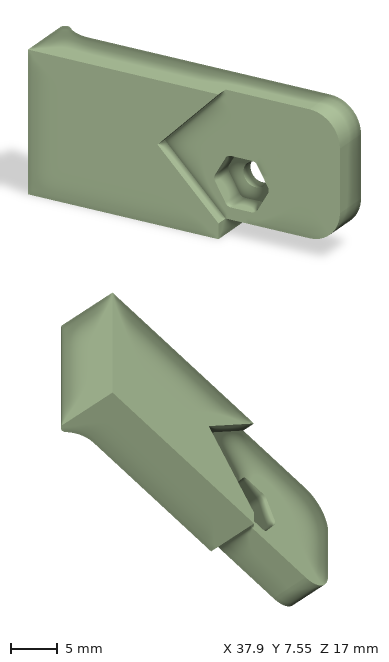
import cadquery as cq
import math

length = 37.85
height = 17.0
block_length = 23.65

tongue_front = 1.5
tongue_back = 6.02
lip_top = 7.55

tongue_height = 15.15
tongue_bottom = height - tongue_height
tongue_corner_radius = 3.8

tip_radius = 0.55
sweep_radius = 4.15

hole_x = 25.65
hole_z = 6.32
hole_diameter = 3.0
nut_width = 6.05
nut_corner_radius = 0.75
nut_depth = 3.0


def plan_profile():
    """Plan outline with the lip, whose tip arc is tangent to the sweep arc."""
    tip_y = lip_top - tip_radius
    sweep_y = tongue_back + sweep_radius
    center_distance = tip_radius + sweep_radius
    sweep_x = tip_radius + math.sqrt(center_distance**2 - (sweep_y - tip_y) ** 2)
    blend_angle = math.atan2(sweep_y - tip_y, sweep_x - tip_radius)
    blend_point = (
        tip_radius + tip_radius * math.cos(blend_angle),
        tip_y + tip_radius * math.sin(blend_angle),
    )
    sweep_mid_angle = (math.pi + blend_angle + 1.5 * math.pi) / 2
    sweep_mid = (
        sweep_x + sweep_radius * math.cos(sweep_mid_angle),
        sweep_y + sweep_radius * math.sin(sweep_mid_angle),
    )
    return (
        cq.Workplane("XY")
        .moveTo(0, 0)
        .lineTo(0, tip_y)
        .threePointArc((tip_radius, lip_top), blend_point)
        .threePointArc(sweep_mid, (sweep_x, tongue_back))
        .lineTo(length, tongue_back)
        .lineTo(length, 0)
        .close()
    )


def front_extrusion(sketch, start, end):
    """Extrude an XZ sketch between two depths along +Y."""
    return sketch.extrude(-(end - start)).translate((0, start, 0))


def side_outline():
    """Full-height block with the shorter tongue, through the whole depth."""
    block = front_extrusion(
        cq.Workplane("XZ").rect(block_length, height, centered=False), 0, lip_top
    )
    tongue = front_extrusion(
        cq.Workplane("XZ", origin=(0, 0, tongue_bottom)).rect(length, tongue_height, centered=False),
        0,
        lip_top,
    )
    tongue = tongue.edges("|Y and >X").fillet(tongue_corner_radius)
    return block.union(tongue)


def front_recess():
    """Step in front of the tongue, ending in a right-angled V notch."""
    notch_depth = tongue_height / 2
    sketch = (
        cq.Workplane("XZ")
        .moveTo(block_length, tongue_bottom)
        .lineTo(block_length - notch_depth, tongue_bottom + notch_depth)
        .lineTo(block_length, height)
        .lineTo(length, height)
        .lineTo(length, tongue_bottom)
        .close()
    )
    return front_extrusion(sketch, 0, tongue_front)


def screw_hole():
    hole_plane = cq.Workplane("XZ", origin=(hole_x, 0, hole_z))
    return front_extrusion(hole_plane.circle(hole_diameter / 2), 0, lip_top)


def nut_pocket():
    across_corners = nut_width / math.cos(math.pi / 6)
    hexagon = cq.Workplane("XZ", origin=(hole_x, 0, hole_z)).polygon(6, across_corners)
    pocket = front_extrusion(hexagon, tongue_front, tongue_front + nut_depth)
    return pocket.edges("|Y").fillet(nut_corner_radius)


result = (
    plan_profile()
    .extrude(height)
    .intersect(side_outline())
    .cut(front_recess())
    .cut(screw_hole())
    .cut(nut_pocket())
)